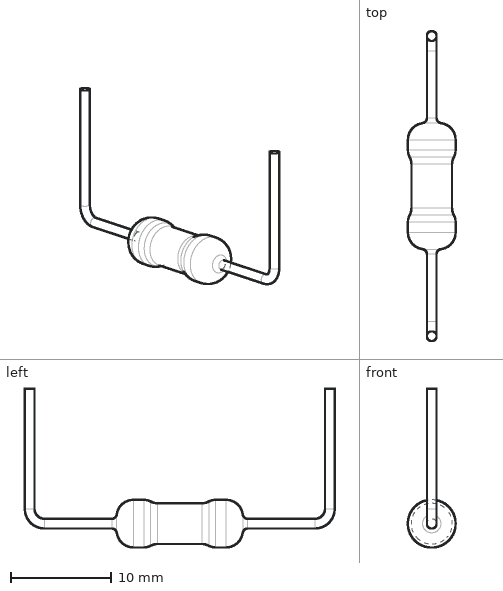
import cadquery as cq
import math

overall_length = 31.0
overall_height = 15.9
wire_radius = 1.0 / 2
bend_radius = 1.5
barrel_radius = 4.8 / 2
waist_radius = 4.1 / 2

waist_end = 2.2
barrel_start = 3.6
barrel_end = 4.62
body_end = 6.8
cap_radius = 1.7

lead_y = overall_length / 2 - wire_radius
lead_top = overall_height - barrel_radius


def circle_point(center, radius, angle):
    """Point on a circle in the (axial, radial) profile plane."""
    return (center[0] + radius * math.cos(angle), center[1] + radius * math.sin(angle))


def half_profile():
    """Rows of (arc midpoint or None, end point) from the waist end out to the lead."""
    run = barrel_start - waist_end
    rise = barrel_radius - waist_radius
    shoulder_radius = (run**2 + rise**2) / (4 * rise)
    half_turn = math.atan2(rise, run)
    inner_center = (waist_end, waist_radius + shoulder_radius)
    outer_center = (barrel_start, barrel_radius - shoulder_radius)
    inner_mid = circle_point(inner_center, shoulder_radius, half_turn - math.pi / 2)
    outer_mid = circle_point(outer_center, shoulder_radius, half_turn + math.pi / 2)
    shoulder_middle = ((waist_end + barrel_start) / 2, (waist_radius + barrel_radius) / 2)

    cap_center = (barrel_end, barrel_radius - cap_radius)
    reach = body_end - barrel_end
    drop = cap_center[1] - wire_radius
    fillet_radius = (reach**2 + drop**2 - cap_radius**2) / (2 * (cap_radius + drop))
    fillet_center = (body_end, wire_radius + fillet_radius)
    tangent_angle = math.atan2(fillet_center[1] - cap_center[1], reach)
    cap_mid = circle_point(cap_center, cap_radius, (tangent_angle + math.pi / 2) / 2)
    cap_foot = circle_point(cap_center, cap_radius, tangent_angle)
    fillet_mid = circle_point(fillet_center, fillet_radius, (tangent_angle - math.pi / 2) / 2 - math.pi / 2)

    return [
        (inner_mid, shoulder_middle),
        (outer_mid, (barrel_start, barrel_radius)),
        (None, (barrel_end, barrel_radius)),
        (cap_mid, cap_foot),
        (fillet_mid, (body_end, wire_radius)),
    ]


def mirrored(point):
    return None if point is None else (-point[0], point[1])


def add_segment(outline, middle, end):
    """Extend an outline of (radial, axial) points by an arc or a straight line."""
    if middle is None:
        return outline.lineTo(end[1], end[0])
    return outline.threePointArc((middle[1], middle[0]), (end[1], end[0]))


def make_body():
    right_half = half_profile()
    outline = cq.Workplane("XY").moveTo(0, -body_end).lineTo(wire_radius, -body_end)

    starts = [(waist_end, waist_radius)] + [end for _, end in right_half[:-1]]
    for (middle, _), start in reversed(list(zip(right_half, starts))):
        outline = add_segment(outline, mirrored(middle), mirrored(start))

    outline = outline.lineTo(waist_radius, waist_end)
    for middle, end in right_half:
        outline = add_segment(outline, middle, end)
    return outline.lineTo(0, body_end).close().revolve(360, (0, 0, 0), (0, 1, 0))


def make_wire():
    """One wire running up, through the body and up again."""
    bend_start = lead_y - bend_radius
    bend_offset = bend_radius * math.sin(math.pi / 4)
    bend_mid_y = bend_start + bend_offset
    bend_mid_z = bend_radius - bend_offset
    path = (
        cq.Workplane("YZ")
        .moveTo(-lead_y, lead_top)
        .lineTo(-lead_y, bend_radius)
        .threePointArc((-bend_mid_y, bend_mid_z), (-bend_start, 0))
        .lineTo(bend_start, 0)
        .threePointArc((bend_mid_y, bend_mid_z), (lead_y, bend_radius))
        .lineTo(lead_y, lead_top)
    )
    section = cq.Workplane("XY", origin=(0, -lead_y, lead_top)).circle(wire_radius)
    return section.sweep(path)


result = make_body().union(make_wire())